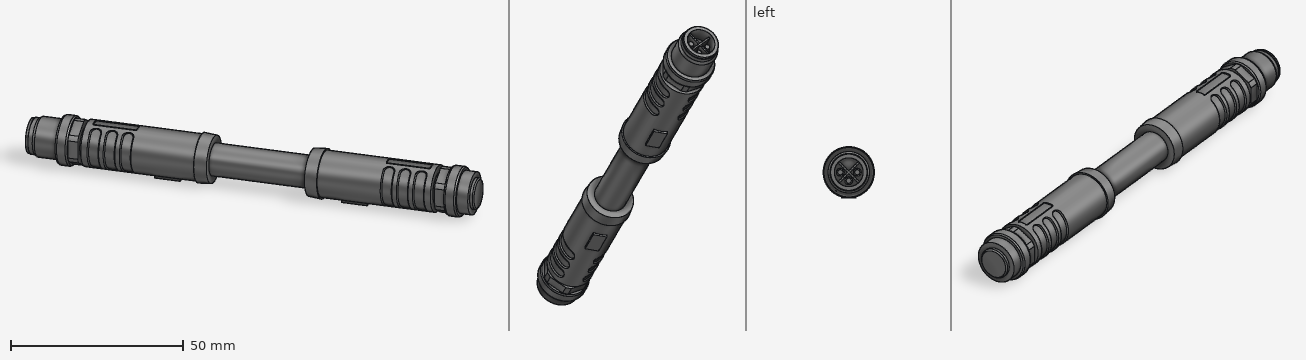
import cadquery as cq
import math

total_length = 137.0
cable_diameter = 9.7

nut_length = 3.7
hex_length = 3.0
neck_length = 1.1
grip_length = 38.5
collar_length = 3.8
plug_length = nut_length + hex_length + neck_length + grip_length
grip_start = plug_length - grip_length

nut_diameter = 15.0
nut_chamfer_length = 0.5
nut_chamfer_depth = 0.3
hex_across_flats = 12.9
hex_corner_diameter = 14.0
hex_rotation = 30.0
neck_diameter = 9.3
grip_diameter = 14.0
collar_end_diameter = 14.2
collar_diameter = 15.0

slot_count = 3
slot_pitch = 5.0
slot_width = 3.5
slot_end_angle = 66.0
slot_floor_width = 2.9
slot_floor_diameter = 13.2
first_slot = grip_start + 3.7
window_length = (slot_count - 1) * slot_pitch + slot_width
window_width = 3.2
window_depth = 0.4
window_corner = 0.4

pad_start = grip_start + 21.0
pad_length = 7.8
pad_width = 4.1
pad_bottom = nut_diameter / 2

male_length = 9.7
male_diameter = 12.0
tip_length = 0.8
tip_diameter = 10.5
ring_end = 2.2
ring_diameter = 11.0
cone_end = 3.0
bore_diameter = 8.4
insert_depth = 1.4
pocket_depth = 3.4
rib_width = 0.5
rib_angles = (45, -45)
pin_diameter = 1.5
pin_collar_diameter = 2.3
pin_collar_length = 1.4
pin_radius = 2.5
pin_tip_depth = 1.9

female_length = 4.7
female_diameter = 12.7
spigot_length = 1.2
spigot_diameter = 9.3
spigot_chamfer = 0.4


def cylinder(x_start, length, diameter):
    """Round bar along X."""
    return cq.Workplane("YZ", origin=(x_start, 0, 0)).circle(diameter / 2).extrude(length)


def cone(x_start, length, start_diameter, end_diameter):
    """Round bar along X that changes diameter evenly along its length."""
    profile = [
        (x_start, 0),
        (x_start, start_diameter / 2),
        (x_start + length, end_diameter / 2),
        (x_start + length, 0),
    ]
    return cq.Workplane("XY").polyline(profile).close().revolve(360, (0, 0), (1, 0))


def hexagon():
    """Spanner hexagon with flats facing +Y and -Y and rounded corners."""
    across_corners = hex_across_flats / math.cos(math.pi / 6)
    prism = (
        cq.Workplane("YZ", origin=(nut_length, 0, 0))
        .transformed(rotate=(0, 0, hex_rotation))
        .polygon(6, across_corners)
        .extrude(hex_length)
    )
    return prism.intersect(cylinder(nut_length, hex_length, hex_corner_diameter))


def chamfered_nut():
    """Coupling nut with both rims chamfered."""
    face_diameter = nut_diameter - 2 * nut_chamfer_depth
    rim = cone(0, nut_chamfer_length, face_diameter, nut_diameter)
    band_length = nut_length - 2 * nut_chamfer_length
    band = cylinder(nut_chamfer_length, band_length, nut_diameter)
    return rim.union(band).union(rim.mirror("YZ").translate((nut_length, 0, 0)))


def side_slot(x_centre):
    """Round-ended recess with sloping walls, wrapped around the -Y side of the grip."""
    floor_radius = slot_floor_diameter / 2
    wall_slope = (slot_width - slot_floor_width) / (grip_diameter - slot_floor_diameter)
    reach = grip_diameter
    floor_half = slot_floor_width / 2
    reach_half = floor_half + wall_slope * (reach - floor_radius)
    wall = [(floor_half, -floor_radius), (reach_half, -reach)]
    opposite_wall = [(-reach_half, -reach), (-floor_half, -floor_radius)]
    half_section = [(0, -floor_radius)] + wall + [(0, -reach)]

    end_angle = slot_end_angle - math.degrees(slot_width / grip_diameter)
    slot = cq.Workplane("XY").polyline(wall + opposite_wall).close().revolve(2 * end_angle, (0, 0), (1, 0))
    slot = slot.rotate((0, 0, 0), (1, 0, 0), -end_angle)
    round_end = cq.Workplane("XY").polyline(half_section).close().revolve(360, (0, 0), (0, 1))
    for angle in (end_angle, -end_angle):
        slot = slot.union(round_end.rotate((0, 0, 0), (1, 0, 0), angle))
    return slot.translate((x_centre, 0, 0))


def grip_slots():
    """Rows of recesses on both sides of the grip, with a round floor."""
    floor = cylinder(grip_start, grip_length, slot_floor_diameter)
    slots = cq.Workplane("XY")
    for i in range(slot_count):
        slot = side_slot(first_slot + i * slot_pitch).cut(floor)
        slots = slots.add(slot).add(slot.mirror("XZ"))
    return slots.combine()


def window():
    """Flat-floored recess on top of the grip, as long as the row of slots."""
    centre = first_slot + (slot_count - 1) * slot_pitch / 2
    floor = grip_diameter / 2 - window_depth
    return (
        cq.Workplane("XY", origin=(centre, 0, floor))
        .rect(window_length, window_width)
        .extrude(grip_diameter)
        .edges("|Z")
        .fillet(window_corner)
    )


def plug():
    """Nut, hexagon, neck and grip, with the outer nut face at x = 0."""
    nut = chamfered_nut()
    neck = cylinder(grip_start - neck_length, neck_length, neck_diameter)
    grip = cylinder(grip_start, grip_length, grip_diameter)
    collar = cone(plug_length - collar_length, collar_length, collar_diameter, collar_end_diameter)
    pad = cq.Workplane("XY").box(pad_length, pad_width, pad_bottom, centered=(False, True, False))
    pad = pad.translate((pad_start, 0, -pad_bottom))
    grip = grip.cut(grip_slots()).cut(window())
    return nut.union(hexagon()).union(neck).union(grip).union(collar).union(pad)


def pin_pockets():
    """Four quarter-round pockets split by diagonal ribs."""
    pockets = cylinder(insert_depth, pocket_depth, bore_diameter)
    for angle in rib_angles:
        rib = cq.Workplane("XY").box(2 * male_length, bore_diameter, rib_width)
        pockets = pockets.cut(rib.rotate((0, 0, 0), (1, 0, 0), angle))
    return pockets


def pin():
    """Contact pin on the X axis, rising from a collar on the pocket floor."""
    floor = insert_depth + pocket_depth
    shaft = cylinder(pin_tip_depth, floor - pin_tip_depth, pin_diameter)
    return shaft.union(cylinder(floor - pin_collar_length, pin_collar_length, pin_collar_diameter))


def male_nose():
    """Stepped socket shell with three pins inside, its end face at x = 0."""
    nose = cylinder(0, tip_length, tip_diameter)
    nose = nose.union(cylinder(tip_length, ring_end - tip_length, ring_diameter))
    nose = nose.union(cone(ring_end, cone_end - ring_end, ring_diameter, male_diameter))
    nose = nose.union(cylinder(cone_end, male_length - cone_end, male_diameter))
    nose = nose.cut(cylinder(0, insert_depth, bore_diameter)).cut(pin_pockets())
    for y, z in ((pin_radius, 0), (-pin_radius, 0), (0, -pin_radius)):
        nose = nose.union(pin().translate((0, y, z)))
    return nose


def female_nose():
    """Plain cylinder with a smaller chamfered spigot ending at x = total_length."""
    shoulder = total_length - spigot_length
    spigot = cylinder(shoulder, spigot_length, spigot_diameter)
    spigot = spigot.faces(">X").edges().chamfer(spigot_chamfer)
    barrel_length = female_length - spigot_length
    return spigot.union(cylinder(shoulder - barrel_length, barrel_length, female_diameter))


male_plug = plug().translate((male_length, 0, 0))
female_plug = plug().mirror("YZ").translate((total_length - female_length, 0, 0))
cable_start = male_length + plug_length
cable_end = total_length - female_length - plug_length
cable = cylinder(cable_start, cable_end - cable_start, cable_diameter)

result = male_nose().union(male_plug).union(cable).union(female_plug).union(female_nose())